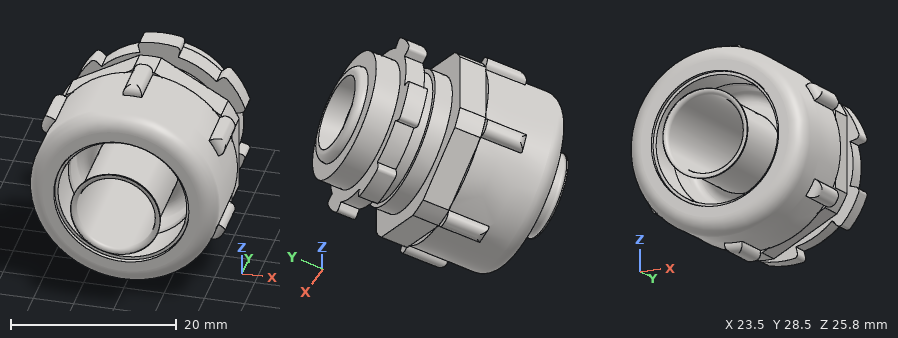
import cadquery as cq
import math

SIDES = 6
PITCH_ANGLE = 360 / SIDES

NUT_FRONT = 3.0
NUT_BACK = 14.0
HEX_BACK = 17.5
SHOULDER_BACK = 19.85
LOCKNUT_FRONT = 21.75
THREAD_END = 27.5
TOTAL_LENGTH = 28.5

NUT_FRONT_RADIUS = 11.77
NUT_BACK_RADIUS = 11.68
NUT_ROUND = 2.0
MOUTH_RADIUS = 16.8 / 2
RIB_ROOT_RADIUS = 10.25
RIB_LENGTH = 5.5
RIB_TOP_RADIUS = 25.8 / 2
RIB_WIDTH = 2.3
RIB_ROUND = 0.95

HEX_FLATS = 22.0
HEX_CORNER_DIAMETER = 24.0
SHOULDER_RADIUS = 18.0 / 2
THREAD_RADIUS = 16.8 / 2
NECK_RADIUS = 19.5 / 2
NECK_FRONT = 7.98

LOCKNUT_THICKNESS = 2.5
LOBE_RADIUS = 11.25
NOTCH_RADIUS = 19.85 / 2
NOTCH_HALF_ANGLE = 16.1
LOBE_ROUND = 0.5

CLAMP_FRONT = 3.53
CLAMP_BORE_RADIUS = 16.0 / 2
SEAL_FRONT = 8.64
SEAL_BORE_RADIUS = 15.5 / 2
SEAL_LIP_ROUND = 0.5
GROOVE_BOTTOM = 12.82
GROOVE_BOTTOM_RADIUS = 6.65

TUBE_RADIUS = 10.1 / 2
TUBE_BORE_RADIUS = 9.7 / 2
TUBE_WALL = TUBE_RADIUS - TUBE_BORE_RADIUS
TUBE_END = 25.65
FLARE_RADIUS = 11.12 / 2
FLARE_INNER_BEND = 0.57
FLARE_OUTER_BEND = FLARE_INNER_BEND - TUBE_WALL

BUSHING_RADIUS = 12.5 / 2
BUSHING_BORE_RADIUS = 9.6 / 2
BUSHING_ROUND = 0.9

DIAGONAL = math.sqrt(0.5)


def profile(radius, y):
    """Start a half section: local X is the radius, local Y is the gland axis."""
    return cq.Workplane("XY").moveTo(radius, y)


def turn(outline):
    return outline.close().revolve(360, (0, 0, 0), (0, 1, 0))


def cylinder(radius, y_start, y_end):
    return section_plane(y_start).circle(radius).extrude(y_end - y_start)


def section_plane(y):
    """Workplane across the axis, extruding toward +Y; local X is Z, local Y is X."""
    return cq.Workplane(cq.Plane(origin=(0, y, 0), xDir=(0, 0, 1), normal=(0, 1, 0)))


def around_axis(shape, index):
    return shape.rotate((0, 0, 0), (0, 1, 0), index * PITCH_ANGLE)


def axis_distance(edge):
    return math.hypot(edge.Center().x, edge.Center().z)


def make_rib():
    rib = cq.Workplane("XY").box(RIB_WIDTH, RIB_LENGTH, RIB_TOP_RADIUS - RIB_ROOT_RADIUS)
    rib = rib.translate((0, NUT_BACK - RIB_LENGTH / 2, (RIB_TOP_RADIUS + RIB_ROOT_RADIUS) / 2))
    return rib.faces(">Z").edges("|Y or <Y").fillet(RIB_ROUND)


def make_cap_nut():
    nut = turn(
        profile(0, NUT_FRONT)
        .lineTo(NUT_FRONT_RADIUS, NUT_FRONT)
        .lineTo(NUT_BACK_RADIUS, NUT_BACK)
        .lineTo(0, NUT_BACK)
    )
    nut = nut.faces("<Y").edges().fillet(NUT_ROUND)
    for index in range(SIDES):
        nut = nut.union(around_axis(make_rib(), index))
    nut = nut.cut(cylinder(MOUTH_RADIUS, NUT_FRONT, NUT_BACK))
    return nut.cut(cylinder(NECK_RADIUS, NECK_FRONT, NUT_BACK))


def make_housing():
    hexagon = section_plane(NUT_BACK).polygon(SIDES, HEX_FLATS / math.cos(math.pi / SIDES))
    hexagon = hexagon.extrude(HEX_BACK - NUT_BACK)
    body = hexagon.intersect(cylinder(HEX_CORNER_DIAMETER / 2, NUT_BACK, HEX_BACK))
    body = body.union(cylinder(NECK_RADIUS, NECK_FRONT, NUT_BACK))
    body = body.union(cylinder(SHOULDER_RADIUS, HEX_BACK, SHOULDER_BACK))
    body = body.union(cylinder(THREAD_RADIUS, SHOULDER_BACK, THREAD_END))
    body = body.cut(cylinder(MOUTH_RADIUS, NECK_FRONT, NUT_BACK))
    return body.cut(cylinder(BUSHING_RADIUS, NUT_BACK, THREAD_END))


def make_locknut():
    locknut_back = LOCKNUT_FRONT + LOCKNUT_THICKNESS
    blank = cylinder(LOBE_RADIUS, LOCKNUT_FRONT, locknut_back)
    reach = 2 * LOBE_RADIUS
    half_spread = reach * math.tan(math.radians(NOTCH_HALF_ANGLE))
    notch = section_plane(LOCKNUT_FRONT).polyline([(0, 0), (half_spread, reach), (-half_spread, reach)])
    notch = notch.close().extrude(LOCKNUT_THICKNESS)
    notch = notch.cut(cylinder(NOTCH_RADIUS, LOCKNUT_FRONT, locknut_back))
    for index in range(SIDES):
        blank = blank.cut(around_axis(notch, index))
    lobe_corners = blank.edges("|Y").filter(lambda edge: axis_distance(edge) > NOTCH_RADIUS + LOBE_ROUND)
    locknut = lobe_corners.fillet(LOBE_ROUND)
    return locknut.cut(cylinder(THREAD_RADIUS, LOCKNUT_FRONT, locknut_back))


def make_clamp_ring():
    ring = cylinder(MOUTH_RADIUS, CLAMP_FRONT, NUT_BACK)
    return ring.cut(cylinder(CLAMP_BORE_RADIUS, CLAMP_FRONT, NUT_BACK))


def make_cup_seal():
    """Cup with a rounded lip; its floor rises along the tube as a round groove."""
    lip_rise = CLAMP_BORE_RADIUS - SEAL_BORE_RADIUS
    lip_end = SEAL_FRONT + math.sqrt(SEAL_LIP_ROUND**2 - (SEAL_LIP_ROUND - lip_rise) ** 2)
    outer_bend = SEAL_BORE_RADIUS - GROOVE_BOTTOM_RADIUS
    inner_bend = GROOVE_BOTTOM_RADIUS - TUBE_RADIUS
    return turn(
        profile(TUBE_RADIUS, NUT_BACK)
        .lineTo(CLAMP_BORE_RADIUS, NUT_BACK)
        .lineTo(CLAMP_BORE_RADIUS, SEAL_FRONT)
        .radiusArc((SEAL_BORE_RADIUS, lip_end), SEAL_LIP_ROUND)
        .lineTo(SEAL_BORE_RADIUS, GROOVE_BOTTOM - outer_bend)
        .threePointArc(
            (GROOVE_BOTTOM_RADIUS + outer_bend * DIAGONAL, GROOVE_BOTTOM - outer_bend * (1 - DIAGONAL)),
            (GROOVE_BOTTOM_RADIUS, GROOVE_BOTTOM),
        )
        .threePointArc(
            (GROOVE_BOTTOM_RADIUS - inner_bend * DIAGONAL, GROOVE_BOTTOM - inner_bend * (1 - DIAGONAL)),
            (TUBE_RADIUS, GROOVE_BOTTOM - inner_bend),
        )
    )


def make_flared_tube():
    """Thin tube whose mouth bends outward at constant wall thickness."""
    bend_radius = TUBE_BORE_RADIUS + FLARE_INNER_BEND
    inner_rise = FLARE_INNER_BEND * DIAGONAL
    outer_rise = FLARE_OUTER_BEND * DIAGONAL
    return turn(
        profile(TUBE_BORE_RADIUS, TUBE_END)
        .lineTo(TUBE_RADIUS, TUBE_END)
        .lineTo(TUBE_RADIUS, FLARE_INNER_BEND)
        .threePointArc((bend_radius - outer_rise, FLARE_INNER_BEND - outer_rise), (bend_radius, TUBE_WALL))
        .lineTo(FLARE_RADIUS, TUBE_WALL)
        .lineTo(FLARE_RADIUS, 0)
        .lineTo(bend_radius, 0)
        .threePointArc(
            (bend_radius - inner_rise, FLARE_INNER_BEND - inner_rise),
            (TUBE_BORE_RADIUS, FLARE_INNER_BEND),
        )
    )


def make_bushing():
    bushing = cylinder(BUSHING_RADIUS, NUT_BACK, TOTAL_LENGTH)
    bushing = bushing.faces(">Y").edges().fillet(BUSHING_ROUND)
    bushing = bushing.cut(cylinder(BUSHING_BORE_RADIUS, NUT_BACK, TOTAL_LENGTH))
    return bushing.cut(cylinder(TUBE_RADIUS, NUT_BACK, TUBE_END))


cap_nut = make_cap_nut()
housing = make_housing()
locknut = make_locknut()
clamp_ring = make_clamp_ring()
cup_seal = make_cup_seal()
flared_tube = make_flared_tube()
bushing = make_bushing()

result = cq.Compound.makeCompound(
    [
        cap_nut.val(),
        housing.val(),
        locknut.val(),
        clamp_ring.val(),
        cup_seal.val(),
        flared_tube.val(),
        bushing.val(),
    ]
)